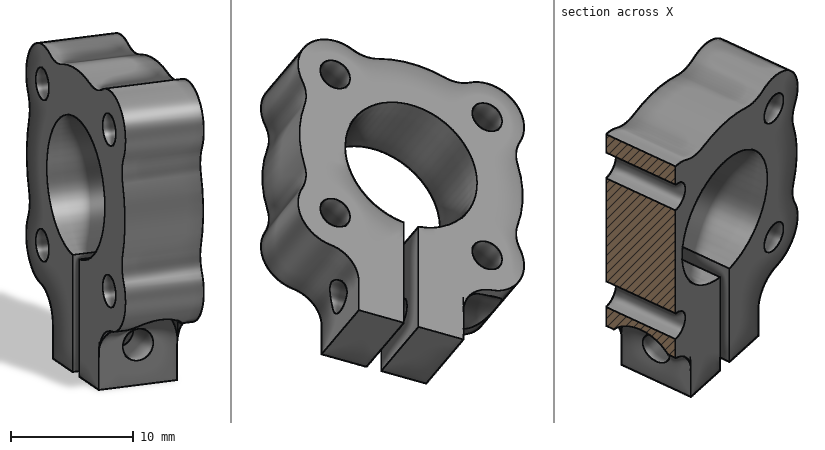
import cadquery as cq
import math

width = 20.574
thickness = 6.985
height = 26.289
bore_diameter = 12.0
rim_radius = 10.16
screw_spacing = 13.83
hole_diameter = 2.71
rim_fillet_radius = 3.1
leg_fillet_radius = 2.9
legs_width = 9.525
slot_width = 1.33
clamp_hole_height = 3.46

seat_diameter = thickness
lobe_offset = screw_spacing / 2
lobe_radius = width / 2 - lobe_offset
leg_half_width = legs_width / 2
bottom_z = width / 2 - height
clamp_hole_z = bottom_z + clamp_hole_height


def point_on_line(start, toward, distance):
    """Point at a given distance from start along the line to another point."""
    dx = toward[0] - start[0]
    dz = toward[1] - start[1]
    scale = distance / math.hypot(dx, dz)
    return (start[0] + dx * scale, start[1] + dz * scale)


def turned(point, quarter_turns):
    """Point turned counterclockwise about the bore axis."""
    x, z = point
    for _ in range(quarter_turns):
        x, z = -z, x
    return (x, z)


def mirrored(point):
    """Point reflected across the plane X = 0."""
    return (-point[0], point[1])


def rim_hollow_points():
    """Rim end, middle and lobe end of the hollow below the upper right lobe."""
    lobe = (lobe_offset, lobe_offset)
    lobe_distance = math.hypot(*lobe)
    rim_reach = rim_radius + rim_fillet_radius
    lobe_reach = lobe_radius + rim_fillet_radius
    cos_angle = (lobe_distance**2 + rim_reach**2 - lobe_reach**2) / (2 * lobe_distance * rim_reach)
    direction = math.pi / 4 - math.acos(cos_angle)
    center = (rim_reach * math.cos(direction), rim_reach * math.sin(direction))
    rim_end = point_on_line(center, (0, 0), rim_fillet_radius)
    lobe_end = point_on_line(center, lobe, rim_fillet_radius)
    chord_middle = ((rim_end[0] + lobe_end[0]) / 2, (rim_end[1] + lobe_end[1]) / 2)
    middle = point_on_line(center, chord_middle, rim_fillet_radius)
    return rim_end, middle, lobe_end


def leg_hollow_points():
    """Leg end, middle and lobe end of the hollow beside the right leg."""
    lobe = (lobe_offset, -lobe_offset)
    center_x = leg_half_width + leg_fillet_radius
    drop = math.sqrt((lobe_radius + leg_fillet_radius) ** 2 - (center_x - lobe_offset) ** 2)
    center = (center_x, -lobe_offset - drop)
    leg_end = (leg_half_width, center[1])
    lobe_end = point_on_line(center, lobe, leg_fillet_radius)
    chord_middle = ((leg_end[0] + lobe_end[0]) / 2, (leg_end[1] + lobe_end[1]) / 2)
    middle = point_on_line(center, chord_middle, leg_fillet_radius)
    return leg_end, middle, lobe_end


def through_y(sketch_plane):
    """Extrude a profile in the XZ plane evenly to both sides of Y = 0."""
    return sketch_plane.extrude(thickness / 2, both=True)


def make_body():
    """Lobed plate with the two clamp legs still joined."""
    rim_end, hollow_middle, lobe_end = rim_hollow_points()
    leg_end, leg_middle, leg_lobe_end = leg_hollow_points()
    lobe_tip = lobe_offset + lobe_radius / math.sqrt(2)

    profile = cq.Workplane("XZ").moveTo(leg_half_width, bottom_z)
    profile = profile.lineTo(*leg_end).threePointArc(leg_middle, leg_lobe_end)
    profile = profile.threePointArc((lobe_tip, -lobe_tip), (lobe_end[0], -lobe_end[1]))
    next_lobe_end = (lobe_end[1], lobe_end[0])
    lobe_finishes = [next_lobe_end, turned(next_lobe_end, 1), mirrored(leg_lobe_end)]
    for side, lobe_finish in enumerate(lobe_finishes):
        first_hollow = [turned((x, -z), side) for x, z in (hollow_middle, rim_end)]
        profile = profile.threePointArc(*first_hollow)
        profile = profile.threePointArc(turned((rim_radius, 0), side), turned(rim_end, side))
        profile = profile.threePointArc(turned(hollow_middle, side), turned(lobe_end, side))
        profile = profile.threePointArc(turned((lobe_tip, lobe_tip), side), lobe_finish)
    profile = profile.threePointArc(mirrored(leg_middle), mirrored(leg_end))
    profile = profile.lineTo(-leg_half_width, bottom_z).close()
    return through_y(profile)


def make_bore():
    return through_y(cq.Workplane("XZ").circle(bore_diameter / 2))


def make_screw_holes():
    holes = cq.Workplane("XZ").rect(screw_spacing, screw_spacing, forConstruction=True)
    return through_y(holes.vertices().circle(hole_diameter / 2))


def make_slot():
    """Gap from the bore down through the leg ends."""
    slot = cq.Workplane("XZ").center(0, bottom_z / 2).rect(slot_width, -bottom_z)
    return through_y(slot)


def make_clamp_hole():
    hole = cq.Workplane("YZ").center(0, clamp_hole_z).circle(hole_diameter / 2)
    return hole.extrude(width / 2, both=True)


def make_screw_seat():
    """Flat around the clamp hole on the outer side of the +X leg."""
    face = cq.Workplane("YZ", origin=(leg_half_width, 0, clamp_hole_z))
    return face.circle(seat_diameter / 2).extrude(width / 2)


result = (
    make_body()
    .cut(make_bore())
    .cut(make_screw_holes())
    .cut(make_slot())
    .cut(make_clamp_hole())
    .cut(make_screw_seat())
    .solids()
)